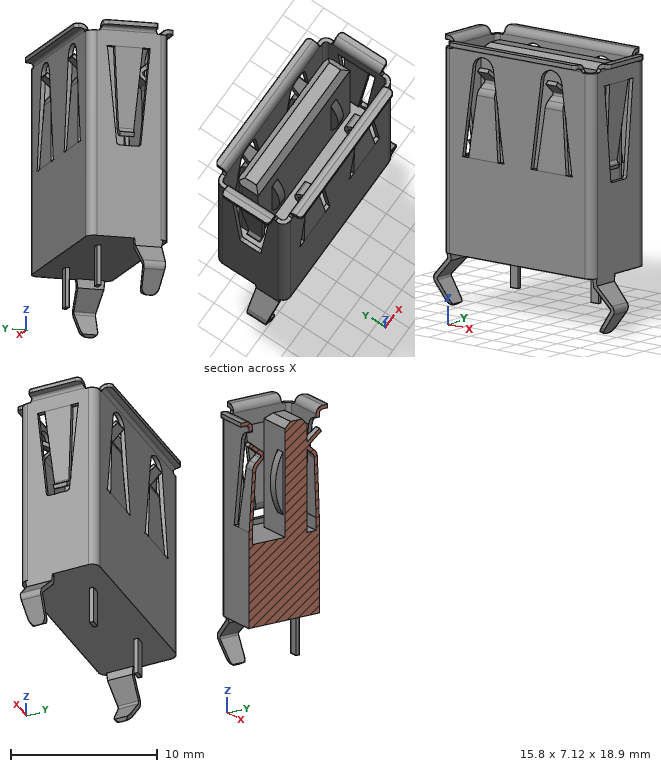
import cadquery as cq
import math


sheet = 0.3
shell_width = 13.1
shell_depth = 5.8
shell_bottom = 3.95
shell_top = 18.32
shell_corner_radius = 0.6
total_height = 18.93

lip_bend_radius = 0.25
lip_corner_radius = 0.3
lip_root_flare = 0.13
lip_root_height = 0.2
front_lip_width = 11.2
front_lip_overhang = 0.66
side_lip_width = 3.9
side_lip_overhang = 0.68

wall_spring_offset = 3.0
wall_window_bottom = 10.92
wall_window_top = 18.1
wall_window_half_width = 1.8
wall_window_top_radius = 0.9
wall_finger_root_half_width = 1.29
wall_finger_knee_half_width = 0.74
wall_finger_tip_half_width = 0.4
wall_finger_knee = 15.6
wall_finger_peak = 16.25
wall_finger_end = 17.07
wall_finger_knee_radius = 0.72
wall_finger_peak_radius = 0.15
front_finger_depth = 1.02
back_finger_depth = 0.89
finger_knee_setback = 0.72
finger_return = 1.06

side_window_top = 17.28
side_window_bottom = 10.4
side_window_top_half_width = 1.53
side_window_bottom_half_width = 0.85
side_window_corner_radius = 0.23
side_finger_root_half_width = 1.0
side_finger_tip_half_width = 0.44
side_finger_depth = 0.6
side_finger_bend = 11.55
side_finger_bend_radius = 0.25
side_finger_end = 11.41
side_finger_return = 0.28

floor_thickness = 6.04
tongue_width = 11.1
tongue_front = 0.04
tongue_back = 1.9
tongue_top = 18.27
tongue_chamfer = 0.45
tongue_corner_radius = 0.57

contact_spacing = 7.06
contact_width = 0.65
contact_bulge = 0.6
contact_bottom = 11.55
contact_top = 16.07
pin_thickness = 0.28
pin_center_y = 1.25
pin_bottom = 1.17

leg_center_y = -1.42
leg_root_half_width = 1.0
leg_tip_half_width = 0.57
leg_tip_radius = 0.51
leg_shoulder = 3.45
leg_elbow_overhang = 1.5
leg_elbow_height = 1.9
leg_elbow_radius = 0.47
leg_tip_inset = 0.13

half_width = shell_width / 2
half_depth = shell_depth / 2
floor_top = shell_bottom + floor_thickness


def rounded_outline(plane, corners):
    """Closed outline through (u, v, radius) corners; a radius of 0 leaves the corner sharp."""
    stretches = []
    for i, (u, v, radius) in enumerate(corners):
        here = cq.Vector(u, v, 0)
        to_last = (cq.Vector(*corners[i - 1][:2], 0) - here).normalized()
        to_next = (cq.Vector(*corners[(i + 1) % len(corners)][:2], 0) - here).normalized()
        if radius == 0:
            stretches.append([here])
            continue
        half_angle = to_last.getAngle(to_next) / 2
        setback = radius / math.tan(half_angle)
        gap = radius / math.sin(half_angle) - radius
        middle = here + (to_last + to_next).normalized() * gap
        stretches.append([here + to_last * setback, middle, here + to_next * setback])

    outline = cq.Workplane(plane).moveTo(*stretches[0][-1].toTuple()[:2])
    for stretch in stretches[1:] + stretches[:1]:
        points = [p.toTuple()[:2] for p in stretch]
        outline = outline.lineTo(*points[0])
        if len(points) > 1:
            outline = outline.threePointArc(points[1], points[2])
    return outline.close()


def strip_corners(path):
    """Corners of a sheet-thick band lying to the left of a path.

    Each path point is (u, v, radius of the left face, radius of the right face).
    """
    normals = []
    for start, end in zip(path, path[1:]):
        length = math.dist(start[:2], end[:2])
        normals.append(((start[1] - end[1]) / length, (end[0] - start[0]) / length))
    right = [(u, v, right_radius) for u, v, _, right_radius in path]
    left = []
    for i, (u, v, left_radius, _) in enumerate(path):
        a = normals[max(i - 1, 0)]
        b = normals[min(i, len(normals) - 1)]
        miter = sheet / (1 + a[0] * b[0] + a[1] * b[1])
        left.append((u + miter * (a[0] + b[0]), v + miter * (a[1] + b[1]), left_radius))
    return right + left[::-1]


def bent_strip(path, face_outline):
    """Bent sheet on the -Y side: a path in (y, z) trimmed to an outline in (x, z)."""
    band = rounded_outline("YZ", strip_corners(path)).extrude(half_width, both=True)
    trim = rounded_outline("XZ", face_outline).extrude(shell_width, both=True)
    return band.intersect(trim)


def taper(bottom, bottom_half, top, top_half, bottom_radius=0):
    """Corners of a symmetric trapezoid in (x, z)."""
    return [
        (-bottom_half, bottom, bottom_radius),
        (bottom_half, bottom, bottom_radius),
        (top_half, top, 0),
        (-top_half, top, 0),
    ]


def on_side(body, angle):
    return body.rotate((0, 0, 0), (0, 0, 1), angle)


def shell_tube():
    height = shell_top - shell_bottom
    outer = cq.Workplane(origin=(0, 0, shell_bottom)).rect(shell_width, shell_depth).extrude(height)
    inner = (
        cq.Workplane(origin=(0, 0, shell_bottom))
        .rect(shell_width - 2 * sheet, shell_depth - 2 * sheet)
        .extrude(height)
    )
    outer = outer.edges("|Z").fillet(shell_corner_radius)
    inner = inner.edges("|Z").fillet(shell_corner_radius - sheet)
    return outer.cut(inner)


def lip(wall, overhang, width):
    """Lip that rises from the wall at y = -wall and curls outwards."""
    underside = total_height - sheet
    path = [
        (-wall - overhang, underside, 0, 0),
        (-wall, underside, lip_bend_radius + sheet, lip_bend_radius),
        (-wall, shell_top, 0, 0),
    ]
    half = width / 2
    root_half = half + lip_root_flare
    root_top = shell_top + lip_root_height
    outline = [
        (-root_half, shell_top, 0),
        (root_half, shell_top, 0),
        (half, root_top, 0),
        (half, total_height, 0),
        (-half, total_height, 0),
        (-half, root_top, 0),
    ]
    body = bent_strip(path, outline)
    return body.faces("<Y").edges("|Z").fillet(lip_corner_radius)


def wall_window(x):
    """Tapered window with a round top whose arc runs tangent into the sloping sides."""
    arc_center = wall_window_top - wall_window_top_radius
    rise = arc_center - wall_window_bottom
    reach = math.hypot(wall_window_half_width, rise)
    slope = math.acos(wall_window_top_radius / reach) - math.atan2(rise, wall_window_half_width)
    tangent_x = wall_window_top_radius * math.cos(slope)
    tangent_z = arc_center + wall_window_top_radius * math.sin(slope)
    return (
        cq.Workplane("XZ")
        .moveTo(x - wall_window_half_width, wall_window_bottom)
        .lineTo(x + wall_window_half_width, wall_window_bottom)
        .lineTo(x + tangent_x, tangent_z)
        .threePointArc((x, wall_window_top), (x - tangent_x, tangent_z))
        .close()
        .extrude(shell_depth, both=True)
    )


def wall_finger(depth):
    """Finger leaning into the shell from the window bottom, with its tip bent back outwards."""
    peak = -half_depth + depth
    knee = peak - finger_knee_setback
    path = [
        (peak - finger_return, wall_finger_end, 0, 0),
        (peak, wall_finger_peak, wall_finger_peak_radius + sheet, wall_finger_peak_radius),
        (knee, wall_finger_knee, wall_finger_knee_radius - sheet, wall_finger_knee_radius),
        (-half_depth, wall_window_bottom, 0, 0),
    ]
    right_side = [
        (wall_finger_root_half_width, wall_window_bottom, 0),
        (wall_finger_knee_half_width, wall_finger_knee, 0),
        (wall_finger_tip_half_width, wall_finger_end + sheet, 0),
    ]
    left_side = [(-x, z, radius) for x, z, radius in right_side]
    return bent_strip(path, right_side + left_side[::-1])


def side_window():
    outline = taper(
        side_window_bottom,
        side_window_bottom_half_width,
        side_window_top,
        side_window_top_half_width,
        side_window_corner_radius,
    )
    return rounded_outline("XZ", outline).extrude(shell_width, both=True)


def side_finger():
    """Finger hanging from the window top, leaning inwards, with its end bent outwards."""
    bend = -half_width + side_finger_depth
    path = [
        (-half_width, side_window_top, 0, 0),
        (bend, side_finger_bend, side_finger_bend_radius + sheet, side_finger_bend_radius),
        (bend - side_finger_return, side_finger_end, 0, 0),
    ]
    outline = taper(
        side_window_bottom, side_finger_tip_half_width, side_window_top, side_finger_root_half_width
    )
    return bent_strip(path, outline)


def leg():
    """Leg hanging from the side wall, kinked outwards and back, with a round tip."""
    path = [
        (-half_width, shell_bottom, 0, 0),
        (-half_width, leg_shoulder, 0, 0),
        (-half_width - leg_elbow_overhang, leg_elbow_height, leg_elbow_radius - sheet, leg_elbow_radius),
        (-half_width - leg_tip_inset, 0, 0, 0),
    ]
    outline = taper(0, leg_tip_half_width, shell_bottom, leg_root_half_width, leg_tip_radius)
    shifted = [(u - leg_center_y, v, radius) for u, v, radius in outline]
    return on_side(bent_strip(path, shifted), -90)


def insulator():
    """Floor filling the shell and the chamfered tongue standing on it."""
    floor = (
        cq.Workplane(origin=(0, 0, shell_bottom))
        .rect(shell_width - 2 * sheet, shell_depth - 2 * sheet)
        .extrude(floor_thickness)
        .edges("|Z")
        .fillet(shell_corner_radius - sheet)
    )
    blank = cq.Workplane(origin=(0, (tongue_front + tongue_back) / 2, floor_top)).box(
        tongue_width,
        tongue_back - tongue_front,
        tongue_top - floor_top,
        centered=(True, True, False),
    )
    chamfered = blank.faces(">Z").edges().chamfer(tongue_chamfer)
    rounded = blank.edges("|Z and >Y").fillet(tongue_corner_radius)
    return floor.union(chamfered.intersect(rounded))


def contact(x):
    """Arched contact spring on the front face of the tongue."""
    middle = (contact_bottom + contact_top) / 2
    return (
        cq.Workplane("YZ", origin=(x, 0, 0))
        .moveTo(tongue_front, contact_bottom)
        .threePointArc((tongue_front - contact_bulge, middle), (tongue_front, contact_top))
        .close()
        .extrude(contact_width / 2, both=True)
    )


def pin(x):
    return (
        cq.Workplane(origin=(x, pin_center_y, pin_bottom))
        .rect(contact_width, pin_thickness)
        .extrude(shell_bottom - pin_bottom)
    )


shell = shell_tube()
for x in (-wall_spring_offset, wall_spring_offset):
    shell = shell.cut(wall_window(x))
shell = shell.cut(on_side(side_window(), 90))

for angle in (0, 180):
    shell = shell.union(on_side(lip(half_depth, front_lip_overhang, front_lip_width), angle))
for angle in (-90, 90):
    shell = shell.union(on_side(lip(half_width, side_lip_overhang, side_lip_width), angle))
    shell = shell.union(on_side(side_finger(), angle))

for x in (-wall_spring_offset, wall_spring_offset):
    shell = shell.union(wall_finger(front_finger_depth).translate((x, 0, 0)))
    shell = shell.union(on_side(wall_finger(back_finger_depth), 180).translate((x, 0, 0)))

left_leg = leg()
shell = shell.union(left_leg).union(left_leg.mirror("YZ"))

result = shell.union(insulator())
for x in (-contact_spacing / 2, contact_spacing / 2):
    result = result.union(contact(x)).union(pin(x))